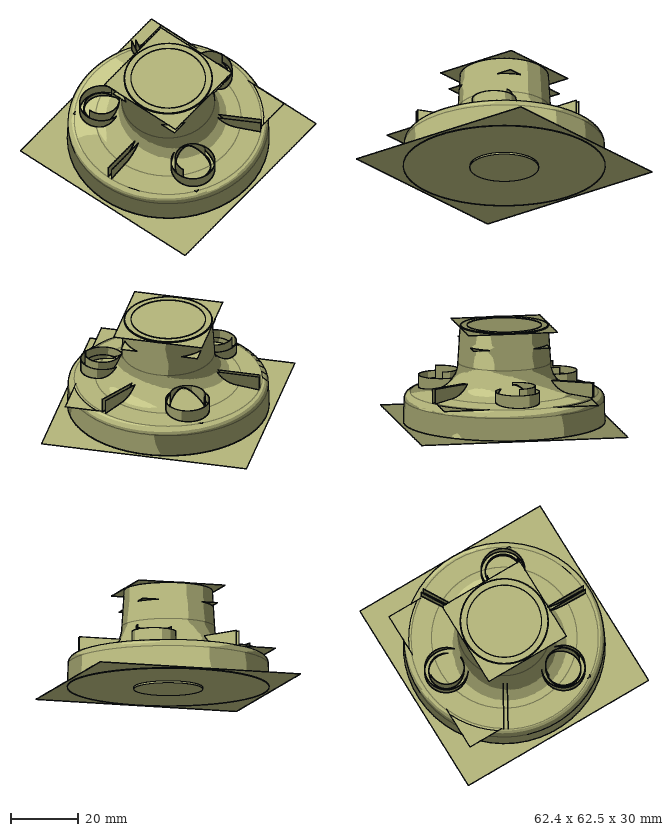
import cadquery as cq
import math

TOP_Z = 30.0
BODY_BOTTOM_Z = 0.55
FLANGE_WALL_TOP_Z = 7.5
FLANGE_TOP_Z = 9.7
FLARE_START_Z = 10.35
NECK_BOTTOM_Z = 18.75
RIM_HEIGHT = 0.2
NECK_TOP_Z = TOP_Z - RIM_HEIGHT

BASE_RADIUS = 30.0
FLANGE_WALL_TOP_RADIUS = 29.7
FLANGE_TOP_RADIUS = 27.9
FLARE_RADIUS = 21.6
NECK_BOTTOM_RADIUS = 13.8
NECK_TOP_RADIUS = 13.1
RIM_OUTER_RADIUS = 12.9
RIM_INNER_RADIUS = 11.05
PAD_RADIUS = 10.25

SHEET = 0.1
BASE_PLATE = (62.4, 62.45, 0.0, 0.8)
FLANGE_PLATE = (46.6, 41.8, 5.0, FLANGE_TOP_Z + SHEET / 4)
NECK_PLATE = (23.2, 23.2, 0.0, 24.7)
TOP_PLATE = (26.85, 26.85, 0.0, NECK_TOP_Z)

BOSS_CIRCLE_RADIUS = 20.0
OUTER_SLEEVE_RADIUS = 6.55
OUTER_SLEEVE_TOP_Z = 13.6
INNER_SLEEVE_RADIUS = 5.3
INNER_SLEEVE_LOW_Z = 11.7
INNER_SLEEVE_TOP_Z = 15.35
TALL_HALF_OVERRUN = 0.45
BOSSES = ((90, -1), (210, 1), (330, -1))

RIB_ANGLES = (30, 150, 270)
RIB_WIDTH = 1.4
RIB_OUTER_RADIUS = 27.8
RIB_TOP_Z = 14.1

ROOT_Z = 8.75


def make_body():
    """Flange, concave flare and tapered neck, turned about Z."""
    rim_bulge = 1 / math.sqrt(2)
    rim_mid = (
        FLANGE_TOP_RADIUS + (FLANGE_WALL_TOP_RADIUS - FLANGE_TOP_RADIUS) * rim_bulge,
        FLANGE_WALL_TOP_Z + (FLANGE_TOP_Z - FLANGE_WALL_TOP_Z) * rim_bulge,
    )
    flare_mid = (
        FLARE_RADIUS - (FLARE_RADIUS - NECK_BOTTOM_RADIUS) * rim_bulge,
        NECK_BOTTOM_Z - (NECK_BOTTOM_Z - FLARE_START_Z) * rim_bulge,
    )
    return (
        cq.Workplane("XZ")
        .moveTo(0, BODY_BOTTOM_Z)
        .lineTo(BASE_RADIUS, BODY_BOTTOM_Z)
        .lineTo(FLANGE_WALL_TOP_RADIUS, FLANGE_WALL_TOP_Z)
        .threePointArc(rim_mid, (FLANGE_TOP_RADIUS, FLANGE_TOP_Z))
        .lineTo(FLARE_RADIUS, FLARE_START_Z)
        .threePointArc(flare_mid, (NECK_BOTTOM_RADIUS, NECK_BOTTOM_Z))
        .lineTo(NECK_TOP_RADIUS, NECK_TOP_Z)
        .lineTo(0, NECK_TOP_Z)
        .close()
        .revolve(360, (0, 0, 0), (0, 1, 0))
    )


def tube(outer_radius, inner_radius, bottom_z, top_z):
    return (
        cq.Workplane("XY", origin=(0, 0, bottom_z))
        .circle(outer_radius)
        .circle(inner_radius)
        .extrude(top_z - bottom_z)
    )


def make_plate(size_x, size_y, centre_y, top_z):
    return (
        cq.Workplane("XY", origin=(0, centre_y, top_z - SHEET))
        .rect(size_x, size_y)
        .extrude(SHEET)
    )


def make_boss(angle, tall_side):
    """Outer sleeve and an inner sleeve that is tall on the given X side."""
    outer = tube(OUTER_SLEEVE_RADIUS, OUTER_SLEEVE_RADIUS - SHEET, ROOT_Z, OUTER_SLEEVE_TOP_Z)
    inner_bore = INNER_SLEEVE_RADIUS - SHEET
    low_ring = tube(INNER_SLEEVE_RADIUS, inner_bore, ROOT_Z, INNER_SLEEVE_LOW_Z)
    tall_ring = tube(INNER_SLEEVE_RADIUS, inner_bore, ROOT_Z, INNER_SLEEVE_TOP_Z)
    box_size = 4 * INNER_SLEEVE_RADIUS
    tall_half = (
        cq.Workplane("XY")
        .center(tall_side * (box_size / 2 - TALL_HALF_OVERRUN), 0)
        .rect(box_size, box_size)
        .extrude(TOP_Z)
    )
    centre_x = BOSS_CIRCLE_RADIUS * math.cos(math.radians(angle))
    centre_y = BOSS_CIRCLE_RADIUS * math.sin(math.radians(angle))
    inner = low_ring.union(tall_ring.intersect(tall_half))
    return outer.union(inner).translate((centre_x, centre_y, 0))


def make_rib(angle):
    """Two parallel upright walls running out from the neck."""
    wall_offset = (RIB_WIDTH - SHEET) / 2
    walls = (
        cq.Workplane("XY", origin=(RIB_OUTER_RADIUS / 2, 0, ROOT_Z))
        .pushPoints([(0, wall_offset), (0, -wall_offset)])
        .rect(RIB_OUTER_RADIUS, SHEET)
        .extrude(RIB_TOP_Z - ROOT_Z)
    )
    return walls.rotate((0, 0, 0), (0, 0, 1), angle)


result = make_body()

result = result.union(tube(RIM_OUTER_RADIUS, RIM_INNER_RADIUS, NECK_BOTTOM_Z, TOP_Z))
result = result.union(cq.Workplane("XY").circle(PAD_RADIUS).extrude(BODY_BOTTOM_Z))

for plate in (BASE_PLATE, FLANGE_PLATE, NECK_PLATE, TOP_PLATE):
    result = result.union(make_plate(*plate))

for boss_angle, boss_side in BOSSES:
    result = result.union(make_boss(boss_angle, boss_side))

for rib_angle in RIB_ANGLES:
    result = result.union(make_rib(rib_angle))